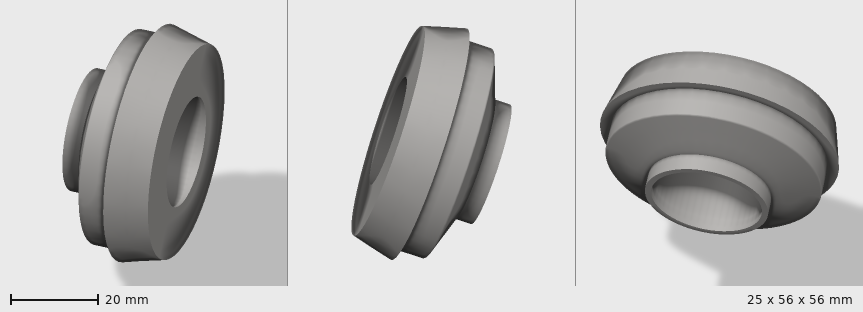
import cadquery as cq

neck_length = 4.0
cone_end = 8.0
flange_start = 15.0
total_length = 25.0

bore_radius = 13.0
neck_radius = 14.45
body_radius = 25.35
flange_radius = 28.0

shoulder_fillet = 0.5

section = (
    cq.Workplane("XZ")
    .moveTo(0, bore_radius)
    .lineTo(0, neck_radius)
    .lineTo(neck_length, neck_radius)
    .lineTo(cone_end, body_radius)
    .lineTo(flange_start, body_radius)
    .lineTo(flange_start, flange_radius)
    .lineTo(total_length, body_radius)
    .lineTo(total_length, bore_radius)
    .close()
)
ring = section.revolve(360, (0, 0, 0), (1, 0, 0))

shoulder_edge = cq.selectors.BoxSelector(
    (cone_end - 0.05, -body_radius - 0.55, -body_radius - 0.55),
    (cone_end + 0.05, body_radius + 0.55, body_radius + 0.55),
    boundingbox=True,
)
result = ring.edges(shoulder_edge).fillet(shoulder_fillet)